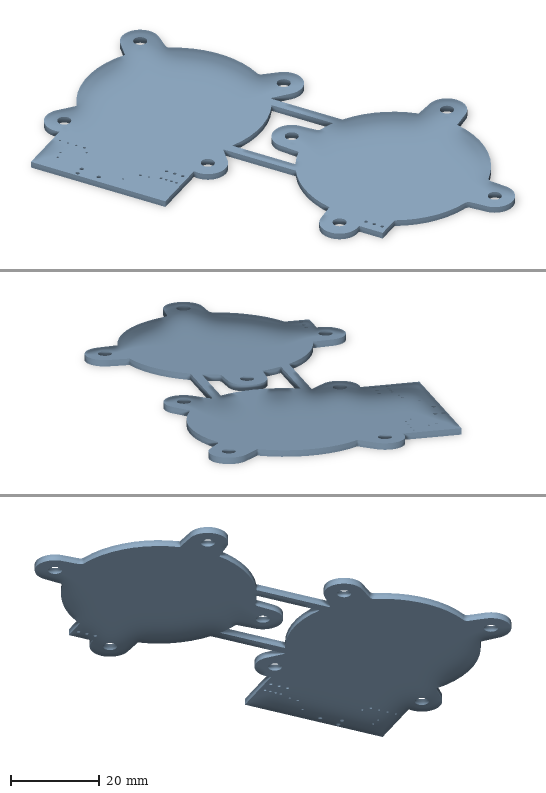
import cadquery as cq
import math

thickness = 1.5
disc_radius = 22.1
overall_length = 109.6
left_center = (0, 0)

lug_reach = 26.0
lug_radius = 4.6
lug_root_half_width = 4.9
lug_hole_diameter = 3.2
left_lug_angles = (45, 135, 225, 315)
right_lug_angles = (0, 90, 180, 270)
left_lug_overhang = lug_reach * math.cos(math.radians(left_lug_angles[0])) + lug_radius
right_lug_overhang = lug_reach + lug_radius
right_center = (overall_length - left_lug_overhang - right_lug_overhang, 0.1)

root_fillet = 1.1
left_blended_roots = [(45, 1), (135, -1)]
right_blended_roots = [(0, 1), (0, -1), (180, -1)]

bridge_width = 2.3
bridge_heights = (10.3, -10.7)

left_tab_half_width = 17.2
left_tab_top = -15.3
left_tab_bottom = -36.7
right_tab_width = 10.6
right_tab_depth = 25.2

wide_pitch = 2.1
fine_pitch = 1.3
pad_pitch = 2.0
via_diameter = 0.5
fine_pin_diameter = 0.65
wide_pin_diameter = 0.8
pad_diameter = 1.0
last_pin_x = 15.9
wide_row_y = -25.8
fine_row_y = -28.8
right_row_last_x = right_center[0] + 9.3
right_row_y = right_center[1] - 22.9
upper_via_row_start = (-15.5, -26.0)
upper_via_count = 3
upper_row_pin = (-9.2, -26.0)
loose_vias = [
    (-7.8, -27.5),
    (-13.0, -30.3),
    (-12.7, -32.2),
    (4.5, -33.1),
    (9.3, -29.7),
]
loose_pin = (7.2, -29.9)
pad_pair_top = (-5.7, -33.9)
single_pad = (-0.8, -35.0)


def plate(x_min, x_max, y_min, y_max):
    """Rectangular piece of board between the given limits."""
    return cq.Workplane("XY").box(
        x_max - x_min, y_max - y_min, thickness, centered=False
    ).translate((x_min, y_min, 0))


def round_plate(center, radius):
    return cq.Workplane("XY").center(*center).circle(radius).extrude(thickness)


def lug_center(center, angle):
    turn = math.radians(angle)
    return (center[0] + lug_reach * math.cos(turn), center[1] + lug_reach * math.sin(turn))


def make_lug(center, angle):
    """Round-ended lug that widens slightly towards the disc."""
    root = math.sqrt(disc_radius**2 - lug_root_half_width**2)
    arm = (
        cq.Workplane("XY")
        .moveTo(0, -lug_root_half_width)
        .lineTo(root, -lug_root_half_width)
        .lineTo(lug_reach, -lug_radius)
        .threePointArc((lug_reach + lug_radius, 0), (lug_reach, lug_radius))
        .lineTo(root, lug_root_half_width)
        .lineTo(0, lug_root_half_width)
        .close()
        .extrude(thickness)
    )
    return arm.rotate((0, 0, 0), (0, 0, 1), angle).translate((center[0], center[1], 0))


def make_board(center, lug_angles, blended_roots):
    board = round_plate(center, disc_radius)
    for angle in lug_angles:
        board = board.union(make_lug(center, angle))
    half_angle = math.asin(lug_root_half_width / disc_radius)
    for angle, side in blended_roots:
        turn = math.radians(angle) + side * half_angle
        root = (
            center[0] + disc_radius * math.cos(turn),
            center[1] + disc_radius * math.sin(turn),
            thickness / 2,
        )
        board = board.edges(cq.selectors.NearestToPointSelector(root)).fillet(root_fillet)
    return board


def row(start, pitch, count):
    """Points in a line along X."""
    return [(start[0] + i * pitch, start[1]) for i in range(count)]


def drill(body, points, diameter):
    cutters = cq.Workplane("XY").pushPoints(points).circle(diameter / 2).extrude(thickness)
    return body.cut(cutters)


result = make_board(left_center, left_lug_angles, left_blended_roots)
result = result.union(make_board(right_center, right_lug_angles, right_blended_roots))
for height in bridge_heights:
    result = result.union(
        plate(left_center[0], right_center[0], height - bridge_width / 2, height + bridge_width / 2)
    )
result = result.union(plate(-left_tab_half_width, left_tab_half_width, left_tab_bottom, left_tab_top))
result = result.union(
    plate(
        right_center[0],
        right_center[0] + right_tab_width,
        right_center[1] - right_tab_depth,
        right_center[1],
    )
)

mounts = [lug_center(left_center, angle) for angle in left_lug_angles]
mounts += [lug_center(right_center, angle) for angle in right_lug_angles]
result = drill(result, mounts, lug_hole_diameter)

wide_pins = row((last_pin_x, wide_row_y), -wide_pitch, 3)
wide_pins += row((right_row_last_x, right_row_y), -wide_pitch, 3)
result = drill(result, wide_pins, wide_pin_diameter)
fine_pins = row((last_pin_x, fine_row_y), -fine_pitch, 4) + [upper_row_pin, loose_pin]
result = drill(result, fine_pins, fine_pin_diameter)

pads = [pad_pair_top, (pad_pair_top[0], pad_pair_top[1] - pad_pitch), single_pad]
result = drill(result, pads, pad_diameter)

vias = row(upper_via_row_start, wide_pitch, upper_via_count) + loose_vias
result = drill(result, vias, via_diameter)